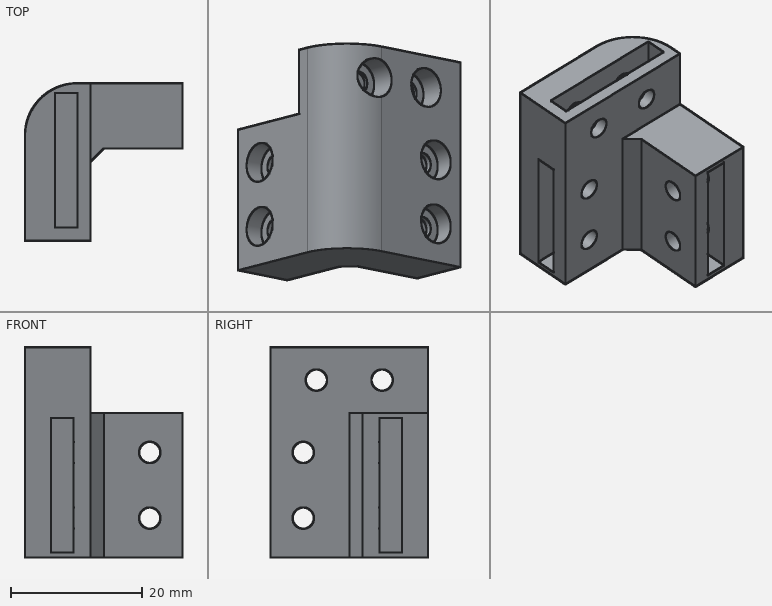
import cadquery as cq

leg_length = 24.0
leg_thickness = 10.0
base_height = 22.0
upper_height = 10.0
total_height = base_height + upper_height
corner_radius = 8.0
inner_chamfer = 2.0

slot_width = 3.4
slot_length = 20.4
slot_depth = 8.0
end_slot_inset = 4.0
top_slot_inset = 4.6
top_slot_start_y = 2.05

hole_diameter = 3.2
bore_diameter = 6.0
leg_bore_depth = 3.0
upper_bore_depth = 4.0
hole_pitch = 10.0
leg_hole_y = 5.0
leg_hole_z = 6.0
upper_hole_y = 7.0
upper_hole_z = base_height + upper_height / 2


def make_body():
    """L-shaped base with a straight block above its Y leg."""
    inner_y = leg_length - leg_thickness
    base = (
        cq.Workplane("XY")
        .polyline([
            (0, 0),
            (leg_thickness, 0),
            (leg_thickness, inner_y - inner_chamfer),
            (leg_thickness + inner_chamfer, inner_y),
            (leg_length, inner_y),
            (leg_length, leg_length),
            (0, leg_length),
        ])
        .close()
        .extrude(base_height)
    )
    y_leg = cq.Workplane("XY").box(leg_thickness, leg_length, total_height, centered=False)
    return base.union(y_leg).faces("<X").edges("|Z and >Y").fillet(corner_radius)


def end_slot():
    """Slot entering the free end of the Y leg."""
    start_z = (base_height - slot_length) / 2
    return (
        cq.Workplane("XY")
        .box(slot_width, slot_depth, slot_length, centered=False)
        .translate((end_slot_inset, 0, start_z))
    )


def top_slot():
    """Slot entering the top of the upper block."""
    return (
        cq.Workplane("XY")
        .box(slot_width, slot_length, slot_depth, centered=False)
        .translate((top_slot_inset, top_slot_start_y, total_height - slot_depth))
    )


def screw_hole(y, z, bore_depth):
    """Through hole along X, counterbored from the outer face x = 0."""
    outer_face = cq.Workplane("YZ").center(y, z)
    hole = outer_face.circle(hole_diameter / 2).extrude(leg_thickness)
    bore = outer_face.circle(bore_diameter / 2).extrude(bore_depth)
    return hole.union(bore)


def leg_features():
    """Slot and pair of screw holes of the Y leg."""
    features = end_slot()
    for index in range(2):
        hole_z = leg_hole_z + index * hole_pitch
        features = features.union(screw_hole(leg_hole_y, hole_z, leg_bore_depth))
    return features


def upper_features():
    """Slot and pair of screw holes of the upper block."""
    features = top_slot()
    for index in range(2):
        hole_y = upper_hole_y + index * hole_pitch
        features = features.union(screw_hole(hole_y, upper_hole_z, upper_bore_depth))
    return features


def on_x_leg(features):
    """Y-leg features reflected across the diagonal of the L, onto the X leg."""
    diagonal_normal = (1, 1, 0)
    point_on_diagonal = (leg_length / 2, leg_length / 2, 0)
    return features.mirror(diagonal_normal, point_on_diagonal)


result = (
    make_body()
    .cut(leg_features())
    .cut(on_x_leg(leg_features()))
    .cut(upper_features())
)